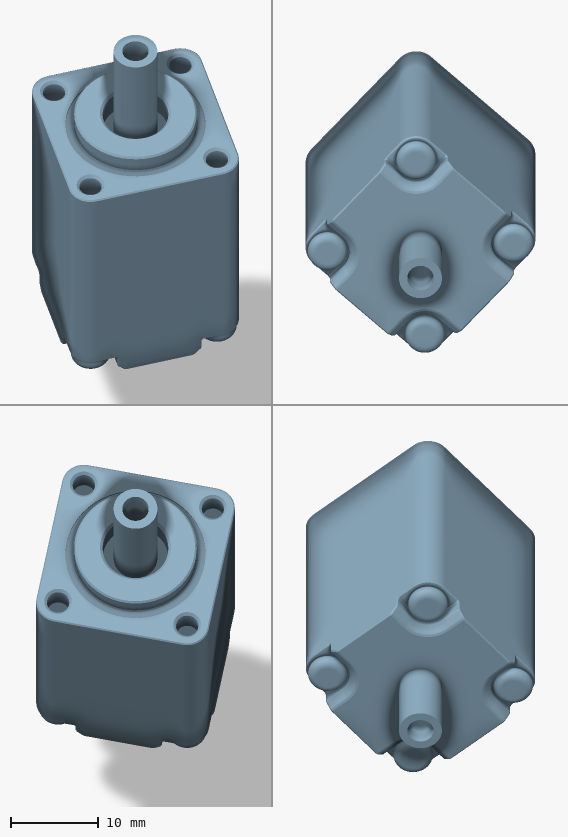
import cadquery as cq
import math

body_width = 20.0
body_height = 30.0
corner_radius = 2.5
flange_thickness = 1.0
seam_height = body_height - flange_thickness
edge_chamfer = 0.15

boss_diameter = 14.0
boss_height = 2.0
boss_chamfer = 0.2
boss_top = body_height + boss_height
relief_diameter = 16.0
relief_depth = 0.2
boss_root_chamfer = 0.15
shaft_recess_diameter = 7.5
shaft_recess_chamfer = 0.3

total_length = 51.05
front_shaft_diameter = 5.0
rear_shaft_diameter = 4.9
shaft_bore_diameter = 3.0
rear_shaft_length = 8.6
shaft_top = total_length - rear_shaft_length

corner_spacing = body_width - 2 * corner_radius
mount_hole_diameter = 2.55
mount_hole_depth = 3.05
mount_hole_chamfer = 0.3

notch_radius = 2.5
notch_height = 2.4
notch_flare = 0.9
screw_head_diameter = 4.5
screw_head_height = 1.85

overshoot = 2.55


def cylinder(diameter, bottom, top):
    """Upright cylinder on the Z axis between two heights."""
    return cq.Workplane("XY").workplane(offset=bottom).circle(diameter / 2).extrude(top - bottom)


def cone(bottom_radius, top_radius, bottom, top):
    """Upright truncated cone on the Z axis between two heights."""
    height = top - bottom
    return cq.Workplane(cq.Solid.makeCone(bottom_radius, top_radius, height, cq.Vector(0, 0, bottom)))


def rounded_block(bottom, top):
    """Square block with rounded vertical corners."""
    block = cq.Workplane("XY").workplane(offset=bottom).rect(body_width, body_width).extrude(top - bottom)
    return block.edges("|Z").fillet(corner_radius)


def at_corners(shape):
    """Four copies of a shape made on the Z axis in the +X +Y quarter, one turned to each corner."""
    offset = corner_spacing / 2
    placed = shape.translate((offset, offset, 0))
    return [placed.rotate((0, 0, 0), (0, 0, 1), 90 * turn) for turn in range(4)]


def mount_hole():
    """Blind hole from the flange face with a chamfered mouth."""
    hole = cylinder(mount_hole_diameter, body_height - mount_hole_depth, body_height)
    radius = mount_hole_diameter / 2
    mouth = cone(radius, radius + mount_hole_chamfer, body_height - mount_hole_chamfer, body_height)
    return hole.union(mouth)


def notch_outline(radius):
    """Square around a corner point, with its inner corner rounded about that point."""
    reach = corner_radius + overshoot
    arc_middle = radius * math.sqrt(0.5)
    return (
        cq.Workplane("XY")
        .moveTo(reach, reach)
        .lineTo(-radius, reach)
        .lineTo(-radius, 0)
        .threePointArc((-arc_middle, -arc_middle), (0, -radius))
        .lineTo(reach, -radius)
        .close()
    )


def corner_notch():
    """Corner cutter with a round inner corner, flaring out at 45 degrees towards the housing bottom."""
    notch = notch_outline(notch_radius).extrude(notch_height)
    flare = notch_outline(notch_radius + notch_flare).extrude(notch_flare, taper=45)
    return notch.union(flare)


def screw_head():
    """Round head whose rim bulges out as a full half circle."""
    rim_radius = screw_head_height / 2
    flat_radius = screw_head_diameter / 2 - rim_radius
    bottom = notch_height - screw_head_height
    profile = (
        cq.Workplane("XZ")
        .moveTo(0, bottom)
        .lineTo(flat_radius, bottom)
        .threePointArc((screw_head_diameter / 2, bottom + rim_radius), (flat_radius, notch_height))
        .lineTo(0, notch_height)
        .close()
    )
    return profile.revolve()


def build_shaft():
    """Hollow shaft, slightly thinner behind the housing."""
    front = cylinder(front_shaft_diameter, 0, shaft_top)
    rear = cylinder(rear_shaft_diameter, -rear_shaft_length, 0)
    bore = cylinder(shaft_bore_diameter, -rear_shaft_length, shaft_top)
    return front.union(rear).cut(bore)


def break_lower_rim(housing):
    """Chamfer the edges where the notched lower end meets the outer sides."""
    outer = body_width / 2 + overshoot
    inner = corner_spacing / 2
    top = notch_height + edge_chamfer
    low_edges = cq.selectors.BoxSelector((-outer, -outer, -overshoot), (outer, outer, top))
    inside_edges = cq.selectors.BoxSelector((-inner, -inner, -overshoot), (inner, inner, top))
    return housing.edges(low_edges - inside_edges).chamfer(edge_chamfer)


def build_housing():
    """Motor housing with corner notches, screw heads, mounting holes and a shaft hole."""
    housing = rounded_block(0, seam_height)
    for notch in at_corners(corner_notch()):
        housing = housing.cut(notch)
    housing = break_lower_rim(housing)
    for head in at_corners(screw_head()):
        housing = housing.union(head)
    for hole in at_corners(mount_hole()):
        housing = housing.cut(hole)
    return housing.cut(cylinder(front_shaft_diameter, 0, seam_height))


def build_flange():
    """Front plate with a pilot boss in a shallow round relief and an open shaft recess."""
    flange = rounded_block(seam_height, body_height).faces(">Z").edges().chamfer(edge_chamfer)
    relief_floor = body_height - relief_depth
    flange = flange.cut(cylinder(relief_diameter, relief_floor, body_height))
    boss = cylinder(boss_diameter, seam_height, boss_top).faces(">Z").edges().chamfer(boss_chamfer)
    boss_radius = boss_diameter / 2
    root = cone(boss_radius + boss_root_chamfer, boss_radius, relief_floor, relief_floor + boss_root_chamfer)
    flange = flange.union(boss).union(root)
    for hole in at_corners(mount_hole()):
        flange = flange.cut(hole)
    flange = flange.cut(cylinder(shaft_recess_diameter, seam_height, boss_top))
    rim = flange.faces(">Z").edges(cq.selectors.RadiusNthSelector(0))
    return rim.chamfer(shaft_recess_chamfer)


housing = build_housing()
flange = build_flange()
shaft = build_shaft()
result = cq.Compound.makeCompound([housing.val(), flange.val(), shaft.val()])